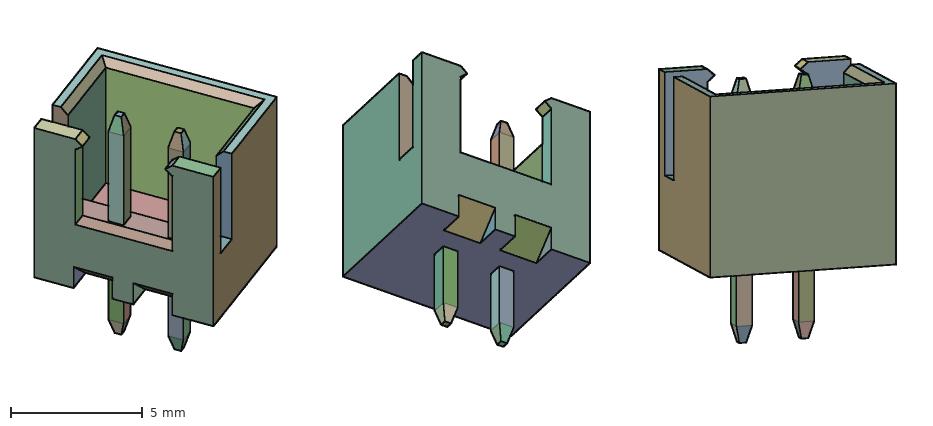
import cadquery as cq

WIDTH = 7.5
DEPTH = 5.7
HEIGHT = 7.0
WALL = 0.65
LEAD_IN = 0.3

STEP_Z = 2.0
REAR_FLOOR_Z = 1.3
STEP_BACK_Y = 2.88
STEP_SLOPE = 0.25

SILL_Z = 3.0
WINDOW_WIDTH = 4.05
SLOT_WIDTH = 1.0

BARB_REACH = 0.3
BARB_TOP_DROP = 0.25
BARB_HEIGHT = 0.5

NOTCH_WIDTH = 1.62
NOTCH_HEIGHT = 1.0
NOTCH_DEPTH = 1.08
NOTCH_OFFSET_X = -0.04

PITCH = 2.5
PIN_SIZE = 0.64
PIN_Y = 2.3
PIN_TOP_Z = 6.9
PIN_BOTTOM_Z = -3.3
PIN_TIP_SIZE = 0.28
PIN_TIP_LENGTH = 0.7

INNER_WIDTH = WIDTH - 2 * WALL
INNER_BACK_Y = DEPTH - WALL
PIN_XS = (-PITCH / 2, PITCH / 2)


def box(x_min, x_max, y_min, y_max, z_min, z_max):
    """Axis-aligned box between two corners."""
    size = (x_max - x_min, y_max - y_min, z_max - z_min)
    return cq.Workplane("XY").box(*size, centered=False).translate((x_min, y_min, z_min))


def centred_box(width, y_min, y_max, z_min, z_max):
    """Box centred on X = 0."""
    return box(-width / 2, width / 2, y_min, y_max, z_min, z_max)


def side_profile_solid(points, x_centre, width):
    """Prism along X from an outline of (Y, Z) points."""
    prism = cq.Workplane("YZ").polyline(points).close().extrude(width / 2, both=True)
    return prism.translate((x_centre, 0, 0))


def cavity():
    outline = [
        (WALL, HEIGHT),
        (WALL, STEP_Z),
        (STEP_BACK_Y, STEP_Z),
        (STEP_BACK_Y + STEP_SLOPE, REAR_FLOOR_Z),
        (INNER_BACK_Y, REAR_FLOOR_Z),
        (INNER_BACK_Y, HEIGHT),
    ]
    return side_profile_solid(outline, 0, INNER_WIDTH)


def lead_in():
    """Flared cavity mouth along the back and side walls, behind the front wall."""
    flare = (
        cq.Workplane("XY", origin=(0, (WALL + INNER_BACK_Y) / 2, HEIGHT))
        .rect(INNER_WIDTH + 2 * LEAD_IN, INNER_BACK_Y - WALL + 2 * LEAD_IN)
        .workplane(offset=-LEAD_IN)
        .rect(INNER_WIDTH, INNER_BACK_Y - WALL)
        .loft(ruled=True)
    )
    return flare.intersect(centred_box(WIDTH, WALL, DEPTH, 0, HEIGHT))


def window():
    return centred_box(WINDOW_WIDTH, 0, WALL, SILL_Z, HEIGHT)


def side_slots():
    return centred_box(WIDTH, WALL, WALL + SLOT_WIDTH, SILL_Z, HEIGHT)


def barb(side):
    """Triangular barb on the window jamb at the given side (-1 or 1)."""
    jamb_x = side * WINDOW_WIDTH / 2
    outline = [
        (jamb_x, HEIGHT),
        (jamb_x - side * BARB_REACH, HEIGHT - BARB_TOP_DROP),
        (jamb_x, HEIGHT - BARB_HEIGHT),
    ]
    return cq.Workplane("XZ").polyline(outline).close().extrude(-WALL)


def notch(x_centre):
    """Wedge open to the front and the underside."""
    outline = [(0, 0), (0, NOTCH_HEIGHT), (NOTCH_DEPTH, 0)]
    return side_profile_solid(outline, x_centre, NOTCH_WIDTH)


def pin_tip(base_z, end_z):
    return (
        cq.Workplane("XY", origin=(0, 0, base_z))
        .rect(PIN_SIZE, PIN_SIZE)
        .workplane(offset=end_z - base_z)
        .rect(PIN_TIP_SIZE, PIN_TIP_SIZE)
        .loft(ruled=True)
    )


def pin(x_centre):
    shank_top_z = PIN_TOP_Z - PIN_TIP_LENGTH
    shank_bottom_z = PIN_BOTTOM_Z + PIN_TIP_LENGTH
    half = PIN_SIZE / 2
    shank = box(-half, half, -half, half, shank_bottom_z, shank_top_z)
    tipped = shank.union(pin_tip(shank_top_z, PIN_TOP_Z))
    tipped = tipped.union(pin_tip(shank_bottom_z, PIN_BOTTOM_Z))
    return tipped.translate((x_centre, PIN_Y, 0))


result = centred_box(WIDTH, 0, DEPTH, 0, HEIGHT)
for cutter in (cavity(), lead_in(), window(), side_slots()):
    result = result.cut(cutter)
for side in (-1, 1):
    result = result.union(barb(side))
for pin_x in PIN_XS:
    result = result.cut(notch(pin_x + NOTCH_OFFSET_X)).union(pin(pin_x))